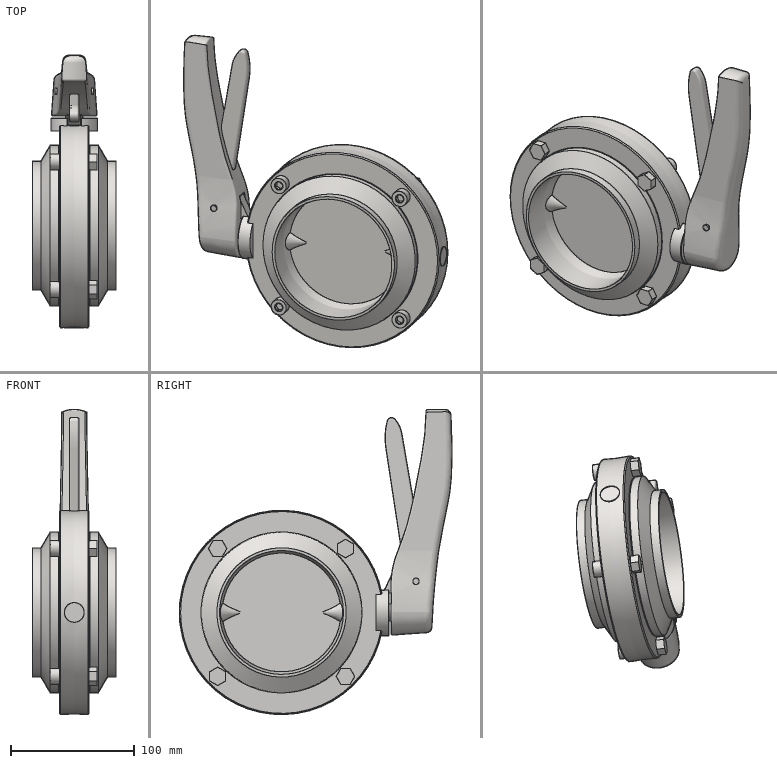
import cadquery as cq
import math


body_half_length = 34.0
pipe_radius = 52.5
bore_radius = 50.3
cone_start_x = 27.0
flange_face_x = 19.5
flange_radius = 65.4
groove_width = 0.8
groove_depth = 0.6
ring_half_width = 12.0
ring_radius = 83.0
ring_waist_radius = 82.5
ring_edge_chamfer = 1.0
seat_radius = 48.2
disc_half_thickness = 3.0

boss_tip_y = 30.0
boss_tip_sink = 0.15
boss_end_y = 50.5
boss_half_height = 9.5
stem_end_radius = 8.0

bolt_circle_radius = 73.4
bolt_angles = (45, 135, 225, 315)
hex_sides = 6
hex_turn = 45
bolt_head_radius = 6.5
bolt_head_height = 7.5
socket_across_flats = 6.0
socket_mouth_radius = 3.5
socket_mouth_depth = 0.5
socket_depth = 4.0
nut_across_flats = 13.0
nut_height = 6.6

stem_radius = 7.0
stem_handle_y = 100.0
collar_radius = 19.0
collar_start_y = 76.7
collar_end_y = 87.4
collar_chamfer = 0.5

handle_front_y = 89.0
handle_face_top_z = 24.0
handle_back_y = 138.55
handle_top_z = 165.0
handle_hub_radius = 18.6
handle_front_points = [(98.3, 60), (108.9, 101), (116.2, 144), (117.3, handle_top_z)]
handle_back_points = [
    (137.4, handle_top_z),
    (handle_back_y, 130),
    (136.9, 99),
    (129.3, 60),
    (125.5, 32),
    (123.3, 8),
    (122.0, -handle_hub_radius),
]
handle_trim = 10.0
handle_draft = 4.0
handle_waist_half_width = 12.9
handle_waist_z = 50.0
handle_top_half_width = 12.2
handle_shoulder_z = 161.5
handle_edge_round = 1.5
handle_back_round = 5.0

pin_y = 109.2
pin_z = 25.3
pin_radius = 2.6
pin_half_length = 15.7

trigger_half_width = 3.9
trigger_foot_front = (96.6, 55.0)
trigger_bend_front = (84.6, 134.0)
trigger_tip_front = (85.8, 155.5)
trigger_tip_back = (92.6, 156.4)
trigger_back_mid = (96.0, 151.0)
trigger_bend_back = (98.0, 144.0)
trigger_heel_back = (106.8, 93.0)
trigger_foot_back = (106.8, 55.0)
trigger_edge_round = 1.6
latch_half_width = 5.2
latch_floor_z = 15.8
latch_top_z = 34.0
latch_back_y = 94.0
latch_outline = [
    (latch_back_y, latch_floor_z),
    (81.9, latch_floor_z),
    (84.0, 19.2),
    (91.0, latch_top_z),
    (latch_back_y, latch_top_z),
]
notch_clearance = 0.6


def cylinder_y(radius, y_start, y_end):
    """Cylinder on the stem axis between two Y positions."""
    disc = cq.Workplane("XZ", origin=(0, y_start, 0)).circle(radius)
    return disc.extrude(y_start - y_end)


def prism_x(outline, half_width):
    """Outline in the YZ plane, extruded symmetrically along X."""
    return outline.extrude(2 * half_width).translate((-half_width, 0, 0))


def make_body():
    """Clamped ring, both welding flanges, seat and closed disc, revolved about X."""
    groove_x = ring_half_width + groove_width
    half = (
        cq.Workplane("XY")
        .moveTo(0, 0)
        .lineTo(disc_half_thickness, 0)
        .lineTo(disc_half_thickness, seat_radius)
        .lineTo(ring_half_width, bore_radius)
        .lineTo(body_half_length, bore_radius)
        .lineTo(body_half_length, pipe_radius)
        .lineTo(cone_start_x, pipe_radius)
        .lineTo(flange_face_x, flange_radius)
        .lineTo(groove_x, flange_radius)
        .lineTo(groove_x, flange_radius - groove_depth)
        .lineTo(ring_half_width, flange_radius - groove_depth)
        .lineTo(ring_half_width, ring_radius - ring_edge_chamfer)
        .lineTo(ring_half_width - ring_edge_chamfer, ring_radius)
        .lineTo(0, ring_waist_radius)
        .close()
        .revolve(360, (0, 0, 0), (1, 0, 0))
    )
    return half.union(half.mirror("YZ"))


def make_stem_boss():
    """Flared boss that sinks at a shallow angle into the disc faces."""
    end_radius = math.hypot(boss_half_height, disc_half_thickness)
    tip_radius = disc_half_thickness - boss_tip_sink
    end_slope = (2 * (end_radius - tip_radius), boss_end_y - boss_tip_y)
    flare = (
        cq.Workplane("XY")
        .moveTo(0, boss_tip_y)
        .lineTo(tip_radius, boss_tip_y)
        .spline([(end_radius, boss_end_y)], tangents=[(0, 1), end_slope], includeCurrent=True)
        .lineTo(0, boss_end_y)
        .close()
    )
    return flare.revolve(360, (0, 0, 0), (0, 1, 0))


def make_bolt(angle):
    """Socket screw head on the -X face and hexagon nut on the +X face."""
    hex_ratio = 2 / math.sqrt(3)
    head = (
        cq.Workplane("YZ", origin=(-ring_half_width, bolt_circle_radius, 0))
        .circle(bolt_head_radius)
        .extrude(-bolt_head_height)
    )
    head_face = cq.Workplane("YZ", origin=(-ring_half_width - bolt_head_height, bolt_circle_radius, 0))
    socket_mouth = head_face.circle(socket_mouth_radius).extrude(socket_mouth_depth)
    socket = (
        head_face
        .transformed(rotate=(0, 0, hex_turn))
        .polygon(hex_sides, socket_across_flats * hex_ratio)
        .extrude(socket_depth)
    )
    nut = (
        cq.Workplane("YZ", origin=(ring_half_width, bolt_circle_radius, 0))
        .transformed(rotate=(0, 0, hex_turn))
        .polygon(hex_sides, nut_across_flats * hex_ratio)
        .extrude(nut_height)
    )
    return head.cut(socket).cut(socket_mouth).union(nut).rotate((0, 0, 0), (1, 0, 0), angle)


def make_collar():
    """Index collar on the neck, notched on top for the latch."""
    collar = cylinder_y(collar_radius, collar_start_y, collar_end_y)
    collar = collar.faces(">Y").edges().chamfer(collar_chamfer)
    notch_half_width = latch_half_width + notch_clearance
    notch = cq.Workplane("XY").box(
        2 * notch_half_width,
        collar_end_y - collar_start_y,
        collar_radius,
        centered=(True, False, False),
    )
    return collar.cut(notch.translate((0, collar_start_y, latch_floor_z)))


def make_handle_side_prism():
    """Curved handle silhouette seen along the flow axis, in the YZ plane."""
    outline = (
        cq.Workplane("YZ")
        .moveTo(handle_front_y, -handle_hub_radius)
        .lineTo(handle_front_y, handle_face_top_z)
        .spline(handle_front_points, tangents=[(0, 1), (0, 1)], includeCurrent=True)
        .lineTo(*handle_back_points[0])
        .spline(handle_back_points[1:], includeCurrent=True)
        .close()
    )
    return prism_x(outline, 2 * handle_hub_radius)


def make_handle_width_prism():
    """Round hub flaring into the slim grip, drafted narrower towards +Y."""
    waist_right = (handle_waist_half_width, handle_waist_z)
    waist_left = (-handle_waist_half_width, handle_waist_z)
    trim_top_z = handle_top_z + handle_trim
    grip_run = handle_waist_half_width - handle_top_half_width
    grip_rise = trim_top_z - handle_waist_z
    outline = (
        cq.Workplane("XZ", origin=(0, handle_front_y, 0))
        .moveTo(handle_hub_radius, 0)
        .spline([waist_right], tangents=[(0, 1), (-grip_run, grip_rise)], includeCurrent=True)
        .lineTo(handle_top_half_width, trim_top_z)
        .lineTo(-handle_top_half_width, trim_top_z)
        .lineTo(*waist_left)
        .spline([(-handle_hub_radius, 0)], tangents=[(-grip_run, -grip_rise), (0, -1)], includeCurrent=True)
        .threePointArc((0, -handle_hub_radius), (handle_hub_radius, 0))
        .close()
    )
    return outline.extrude(handle_front_y - handle_back_y - handle_trim, taper=handle_draft)


def make_handle_crown_prism():
    """Everything below the arched top of the handle."""
    outline = (
        cq.Workplane("XZ", origin=(0, handle_front_y - handle_trim, 0))
        .moveTo(-handle_top_half_width, handle_shoulder_z)
        .threePointArc((0, handle_top_z), (handle_top_half_width, handle_shoulder_z))
        .lineTo(2 * handle_hub_radius, handle_shoulder_z)
        .lineTo(2 * handle_hub_radius, -2 * handle_hub_radius)
        .lineTo(-2 * handle_hub_radius, -2 * handle_hub_radius)
        .lineTo(-2 * handle_hub_radius, handle_shoulder_z)
        .close()
    )
    return outline.extrude(handle_front_y - handle_back_y - 2 * handle_trim)


def make_handle():
    """Handle casting with broad rounds at the back and small ones at the front."""
    handle = (
        make_handle_side_prism()
        .intersect(make_handle_width_prism())
        .intersect(make_handle_crown_prism())
    )
    back_face = max(handle.faces().vals(), key=lambda face: face.Center().y)
    handle = cq.Workplane(handle.val().fillet(handle_back_round, back_face.Edges()))
    facing_front = -0.5
    front_faces = [face for face in handle.faces().vals() if face.normalAt().y < facing_front]
    front_edges = [edge for face in front_faces for edge in face.Edges()]
    return cq.Workplane(handle.val().fillet(handle_edge_round, front_edges))


def make_pivot_pin():
    """Pin carrying the trigger, its ends just proud of the handle sides."""
    return prism_x(cq.Workplane("YZ").center(pin_y, pin_z).circle(pin_radius), pin_half_length)


def make_trigger():
    """Squeeze lever in front of the grip, pivoting inside the handle."""
    outline = (
        cq.Workplane("YZ")
        .moveTo(*trigger_foot_front)
        .lineTo(*trigger_bend_front)
        .tangentArcPoint(trigger_tip_front, relative=False)
        .tangentArcPoint(trigger_tip_back, relative=False)
        .threePointArc(trigger_back_mid, trigger_bend_back)
        .lineTo(*trigger_heel_back)
        .lineTo(*trigger_foot_back)
        .close()
    )
    return prism_x(outline, trigger_half_width).faces("<X or >X").edges().fillet(trigger_edge_round)


def make_latch_slot():
    """Clearance slot in the hub face around the latch tooth."""
    slot_half_width = latch_half_width + notch_clearance
    slot_height = latch_top_z + notch_clearance - latch_floor_z
    slot_depth = latch_back_y - handle_front_y
    slot = cq.Workplane("XY").box(
        2 * slot_half_width, slot_depth, slot_height, centered=(True, False, False)
    )
    return slot.translate((0, handle_front_y, latch_floor_z))


def make_latch():
    """Tooth that reaches from the handle into the collar notch."""
    outline = cq.Workplane("YZ").polyline(latch_outline).close()
    return prism_x(outline, latch_half_width)


def make_stem():
    """Stem from the ring into the handle, and its plugged end opposite."""
    stem = cylinder_y(stem_radius, collar_start_y, stem_handle_y)
    plug = cylinder_y(stem_end_radius, -ring_radius, -collar_start_y)
    return stem.union(plug)


stem_boss = make_stem_boss()
result = make_body().union(stem_boss).union(stem_boss.mirror("XZ"))
for bolt_angle in bolt_angles:
    result = result.union(make_bolt(bolt_angle))
for part in (
    make_collar(),
    make_stem(),
    make_handle().cut(make_latch_slot()),
    make_pivot_pin(),
    make_trigger(),
    make_latch(),
):
    result = result.union(part)